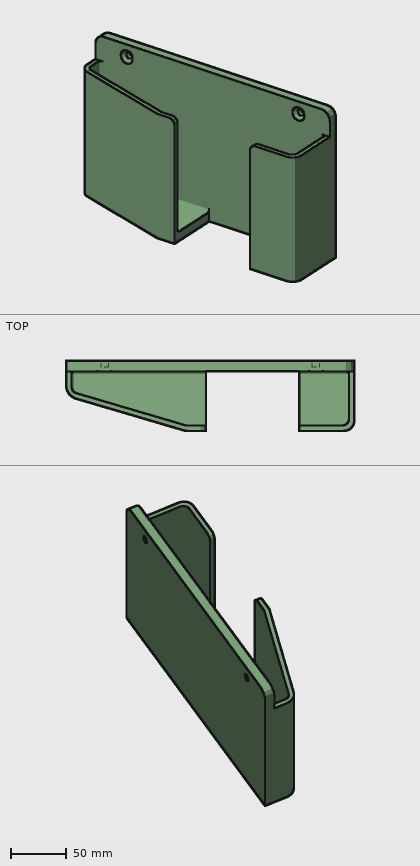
import cadquery as cq
import math

width = 260.4
depth = 63.5
height = 152.3

plate_thickness = 9.6
plate_corner_radius = 9.6
plate_rise = 25.5

pocket_top = height - plate_rise
wall = 5.0
floor_thickness = 9.6
side_depth = 31.8
bend_x = 107.8
inner_corner_radius = 6.2
left_corner_radius = 12.8
front_corner_radius = 9.6
root_fillet = 3.0

opening_left = 126.5
opening_right = 210.4
lip_corner_radius = 6.2

hole_inset = 35.0
hole_drop = 12.8
hole_diameter = 6.5
countersink_diameter = 13.3
countersink_angle = 82

slant_angle = math.atan((depth - side_depth) / bend_x)


def vertical_edges_at(solid, corners, radius):
    """Round the vertical edges of a solid that stand at the given XY corners."""
    for x, y in corners:
        solid = solid.edges(cq.selectors.NearestToPointSelector((x, y, height / 2))).fillet(radius)
    return solid


def make_plate():
    """Back plate with rounded upper corners."""
    plate = cq.Workplane("XY").box(width, plate_thickness, height, centered=False)
    plate = plate.translate((0, -plate_thickness, 0))
    return plate.edges("|Y and >Z").fillet(plate_corner_radius)


def make_holder_block():
    """Outer body of the pockets, with its three front bends rounded."""
    bends = [(0, -side_depth), (bend_x, -depth), (width, -depth)]
    outline = [(0, 0)] + bends + [(width, 0)]
    block = cq.Workplane("XY").polyline(outline).close().extrude(pocket_top)
    block = vertical_edges_at(block, bends[:1], left_corner_radius)
    return vertical_edges_at(block, bends[1:], front_corner_radius)


def make_cavity():
    """Space between the walls, one wall thickness inside the holder block."""
    inner_bend_x = bend_x + wall * math.tan(slant_angle / 2)
    inner_front = -(depth - wall)
    inner_side = inner_front + (inner_bend_x - wall) * math.tan(slant_angle)
    bends = [(wall, inner_side), (inner_bend_x, inner_front), (width - wall, inner_front)]
    roots = [(wall, -plate_thickness), (width - wall, -plate_thickness)]
    outline = [roots[0]] + bends + [roots[1]]
    cavity = cq.Workplane("XY").workplane(offset=floor_thickness).polyline(outline).close().extrude(height)
    cavity = vertical_edges_at(cavity, bends, inner_corner_radius)
    cavity = vertical_edges_at(cavity, roots, root_fillet)
    return cavity.faces("<Z").edges().fillet(root_fillet)


def make_opening():
    """Gap through the floor and the front wall, in front of the plate."""
    return cq.Workplane("XY").box(
        opening_right - opening_left, depth - plate_thickness, height, centered=False
    ).translate((opening_left, -depth, 0))


def round_lips(body):
    """Round the upper free corner of the front wall on both sides of the opening."""
    for x in (opening_left, opening_right):
        corner = (x, -depth + wall / 2, pocket_top)
        body = body.edges(cq.selectors.NearestToPointSelector(corner)).fillet(lip_corner_radius)
    return body


def drill_holes(body):
    """Through holes, countersunk from the front face of the plate."""
    hole_z = height - hole_drop
    front = cq.Workplane("XZ", origin=(0, -plate_thickness, 0))
    return (
        front.newObject([body.val()])
        .pushPoints([(hole_inset, hole_z), (width - hole_inset, hole_z)])
        .cskHole(hole_diameter, countersink_diameter, countersink_angle, plate_thickness)
    )


pockets = make_holder_block().cut(make_cavity()).cut(make_opening())
result = drill_holes(make_plate()).union(round_lips(pockets))